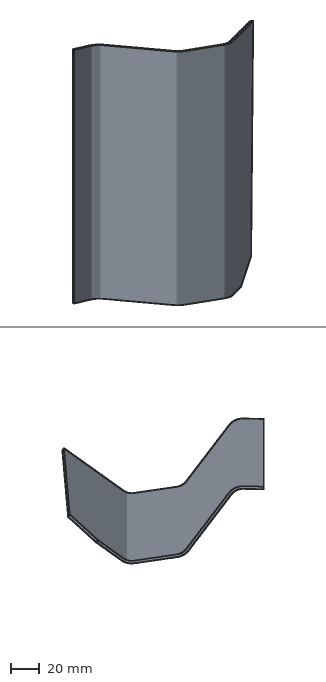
import cadquery as cq
import math

height = 185.0
thickness = 2.0
inside_radius = 10.0

lip_length = 14.2
plate_length = 50.1
web_length = 30.3
flank_length = 51.2

lip_angle = 55.0
web_angle = 45.0

taper = 5.0
corner_height = 15.0
corner_reach = 29.6

half = thickness / 2
bend_radius = inside_radius + half


def polar(distance, degrees):
    angle = math.radians(degrees)
    return cq.Vector(distance * math.cos(angle), distance * math.sin(angle))


def flat(start, heading, length):
    """One flat stretch of sheet, and the middle of its far end."""
    end = start + polar(length, heading)
    side = polar(half, heading + 90)
    corners = [start - side, end - side, end + side, start + side]
    outline = cq.Workplane("XY").polyline([c.toTuple()[:2] for c in corners]).close()
    return outline.extrude(height), end


def bend(start, heading, turn):
    """One bend of the sheet, and the middle of its far end."""
    toward_center = heading + math.copysign(90, turn)
    center = start + polar(bend_radius, toward_center)

    def on_arc(radius, swept):
        return (center - polar(radius, toward_center + swept)).toTuple()[:2]

    inner = inside_radius
    outer = inside_radius + thickness
    outline = (
        cq.Workplane("XY")
        .moveTo(*on_arc(outer, 0))
        .threePointArc(on_arc(outer, turn / 2), on_arc(outer, turn))
        .lineTo(*on_arc(inner, turn))
        .threePointArc(on_arc(inner, turn / 2), on_arc(inner, 0))
        .close()
    )
    return outline.extrude(height), center - polar(bend_radius, toward_center + turn)


heading = lip_angle
position = cq.Vector(half * math.sin(math.radians(heading)), half * math.cos(math.radians(heading)))
sheet, position = flat(position, heading, lip_length)
for turn, length in [
    (-lip_angle, plate_length),
    (web_angle, web_length),
    (web_angle, flank_length),
]:
    piece, position = bend(position, heading, turn)
    sheet = sheet.union(piece)
    heading += turn
    piece, position = flat(position, heading, length)
    sheet = sheet.union(piece)

edge_y = position.y
trim = (
    cq.Workplane("YZ", origin=(position.x - thickness, 0, 0))
    .moveTo(edge_y, height)
    .lineTo(edge_y - taper, corner_height)
    .lineTo(edge_y - corner_reach, 0)
    .lineTo(edge_y, 0)
    .close()
    .extrude(2 * thickness)
)

result = sheet.cut(trim)